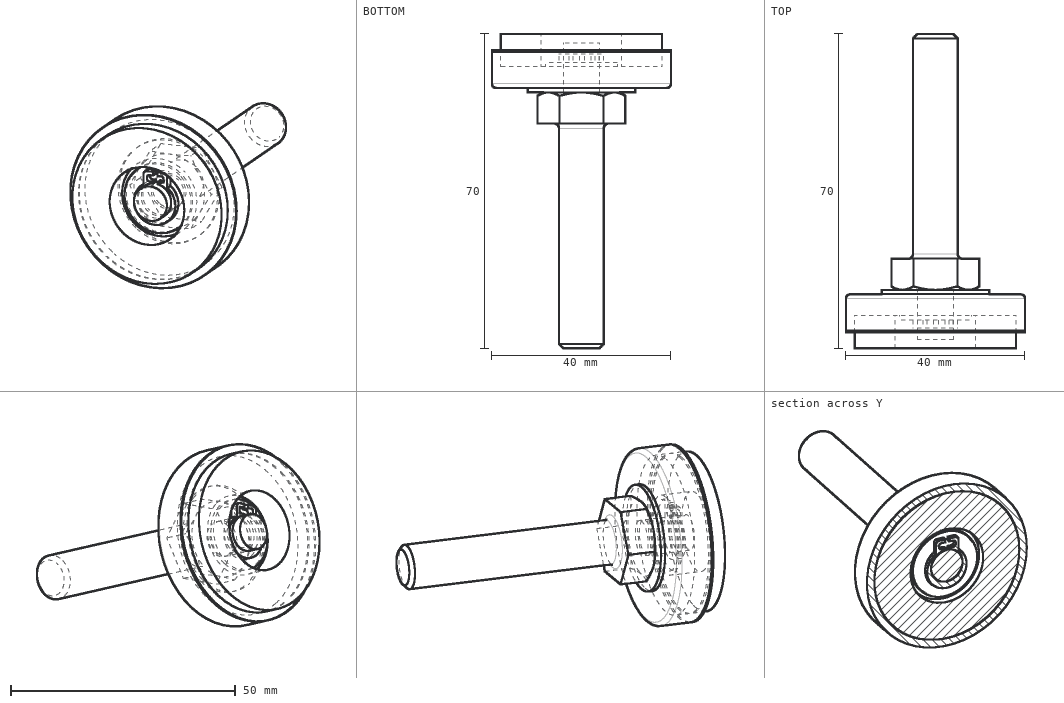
import cadquery as cq
import math


total_length = 70.0
shank_diameter = 10.0
shank_chamfer = 1.0
neck_fillet = 1.05
hex_across_flats = 17.0
hex_length = 6.9
hex_chamfer_angle = 30.0
pin_diameter = 8.0
pin_end_y = 1.95

housing_diameter = 40.0
housing_end_y = 12.05
housing_fillet = 1.0

pad_diameter = 36.0
pad_bore_diameter = 18.0
pad_step_y = 3.6
lip_thickness = 0.4
recess_floor_y = 7.3

outer_washer_diameter = 24.0
outer_washer_thickness = 1.0
inner_washer_diameter = 16.0
inner_washer_thickness = 1.0

ring_thickness = 1.8
ring_radius = 5.0
ring_drop = 0.6
ear_shift = 0.15
ear_half_width = 2.9
ear_top = 6.65
ear_corner_radius = 0.85
slot_half_width = 2.0
slot_bottom = 4.35
slot_top = 5.8
slot_corner_radius = 0.6
ear_gap = 1.05

lip_end_y = pad_step_y + lip_thickness
hex_start_y = housing_end_y + outer_washer_thickness
hex_end_y = hex_start_y + hex_length
inner_washer_y = recess_floor_y - inner_washer_thickness
ring_y = inner_washer_y - ring_thickness


def plane_at(y):
    """Workplane across the axis at height y, with local axes X and Z."""
    return cq.Workplane("XZ", origin=(0, y, 0))


def cylinder(diameter, start_y, end_y):
    """Solid cylinder on the common axis."""
    return plane_at(start_y).circle(diameter / 2).extrude(start_y - end_y)


def disc_with_bore(diameter, bore, start_y, end_y):
    """Flat ring on the common axis."""
    return plane_at(start_y).circle(diameter / 2).circle(bore / 2).extrude(start_y - end_y)


def make_hexagon():
    """Hexagon with corners on the X axis, chamfered on the side of the housing."""
    across_corners = hex_across_flats / math.cos(math.pi / 6)
    hexagon = plane_at(hex_start_y).polygon(6, across_corners).extrude(-hex_length)
    inner = hex_across_flats / 2
    outer = across_corners
    rise = (outer - inner) * math.tan(math.radians(hex_chamfer_angle))
    envelope = (
        cq.Workplane("XY")
        .moveTo(0, hex_start_y)
        .lineTo(inner, hex_start_y)
        .lineTo(outer, hex_start_y + rise)
        .lineTo(outer, hex_end_y)
        .lineTo(0, hex_end_y)
        .close()
        .revolve(360, (0, 0, 0), (0, 1, 0))
    )
    return hexagon.intersect(envelope)


def make_shank():
    """Shank with a chamfered tip and a concave fillet where it meets the hexagon."""
    shank_radius = shank_diameter / 2
    arc_x = shank_radius + neck_fillet * (1 - math.sqrt(0.5))
    arc_y = hex_end_y + neck_fillet * (1 - math.sqrt(0.5))
    return (
        cq.Workplane("XY")
        .moveTo(0, hex_end_y)
        .lineTo(shank_radius + neck_fillet, hex_end_y)
        .threePointArc((arc_x, arc_y), (shank_radius, hex_end_y + neck_fillet))
        .lineTo(shank_radius, total_length - shank_chamfer)
        .lineTo(shank_radius - shank_chamfer, total_length)
        .lineTo(0, total_length)
        .close()
        .revolve(360, (0, 0, 0), (0, 1, 0))
    )


def make_stud():
    """Pin, hexagon and shank joined along the axis."""
    pin = cylinder(pin_diameter, pin_end_y, hex_start_y)
    return make_hexagon().union(pin).union(make_shank())


def make_housing():
    """Shallow cup, open towards the floor, with a bore for the pin."""
    body = cylinder(housing_diameter, lip_end_y, housing_end_y)
    body = body.faces(">Y").edges().fillet(housing_fillet)
    recess = cylinder(pad_diameter, lip_end_y, recess_floor_y)
    bore = cylinder(pin_diameter, recess_floor_y, housing_end_y)
    return body.cut(recess).cut(bore)


def make_pad():
    """Bored disc with a thin lip that covers the rim of the housing."""
    disc = cylinder(pad_diameter, 0, recess_floor_y)
    lip = cylinder(housing_diameter, pad_step_y, lip_end_y)
    bore = cylinder(pad_bore_diameter, 0, recess_floor_y)
    return disc.union(lip).cut(bore)


def make_outer_washer():
    """Washer between the housing and the hexagon."""
    return disc_with_bore(outer_washer_diameter, pin_diameter, housing_end_y, hex_start_y)


def make_inner_washer():
    """Washer on the floor of the housing recess, inside the pad bore."""
    return disc_with_bore(inner_washer_diameter, pin_diameter, inner_washer_y, recess_floor_y)


def upright_block(half_width, bottom, top):
    """Block as thick as the retaining ring, centred on the ears in X and spanning bottom to top in Z."""
    return (
        plane_at(ring_y)
        .center(ear_shift, (bottom + top) / 2)
        .rect(2 * half_width, top - bottom)
        .extrude(-ring_thickness)
    )


def make_retaining_ring():
    """Open ring around the pin that bears on the inner washer."""
    ring = plane_at(ring_y).center(0, -ring_drop).circle(ring_radius).extrude(-ring_thickness)
    ears = upright_block(ear_half_width, 0, ear_top)
    ears = ears.edges("|Y and >Z").fillet(ear_corner_radius)
    slot = upright_block(slot_half_width, slot_bottom, slot_top)
    slot = slot.edges("|Y").fillet(slot_corner_radius)
    gap = upright_block(ear_gap / 2, 0, ear_top)
    pin_hole = cylinder(pin_diameter, ring_y, inner_washer_y)
    return ring.union(ears).cut(slot).cut(gap).cut(pin_hole)


stud = make_stud()
housing = make_housing()
pad = make_pad()
outer_washer = make_outer_washer()
inner_washer = make_inner_washer()
retaining_ring = make_retaining_ring()

result = cq.Compound.makeCompound(
    [
        stud.val(),
        housing.val(),
        pad.val(),
        outer_washer.val(),
        inner_washer.val(),
        retaining_ring.val(),
    ]
)